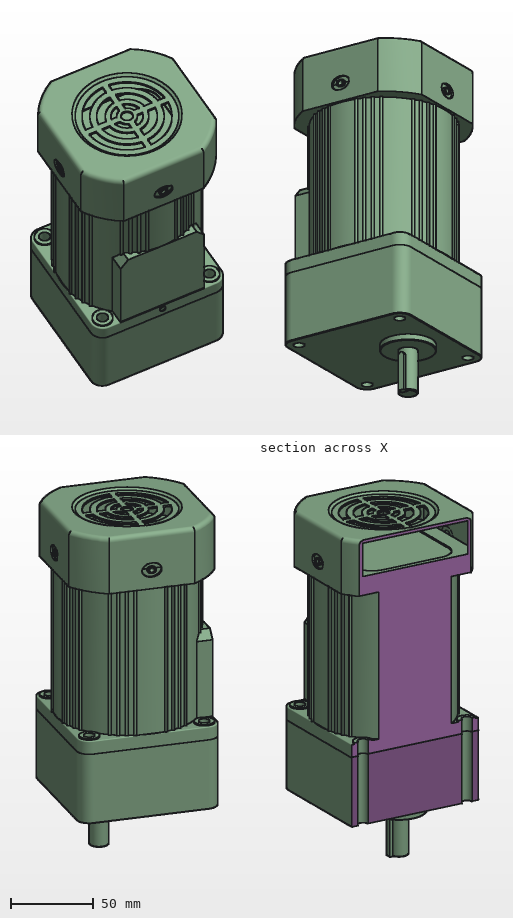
import cadquery as cq

total_height = 216.0

body_side = 89.9
body_corner_radius = 8.0
gearbox_bottom_z = 32.0
gearbox_top_z = 77.0
gearbox_bottom_chamfer = 0.5
flange_thickness = 8.5
flange_edge_fillet = 0.6
screw_spacing = 73.5
screw_hole_diameter = 7.0
screw_boss_diameter = 12.5
screw_boss_height = 0.9

shaft_offset_x = -18.0
shaft_diameter = 12.0
shaft_end_chamfer = 0.6
collar_diameter = 34.1
collar_bottom_z = 28.0
collar_chamfer = 0.5
key_width = 4.0
key_thickness = 4.0
key_protrusion = 1.5
key_length = 24.8

barrel_diameter = body_side
rib_radius = 0.97
ribs_per_group = 4
rib_pitch_angle = 6.6
rib_group_angle = 45.0

terminal_box_width = 57.5
terminal_box_top_z = 140.5
terminal_box_slope_width = 5.2
terminal_box_slope_height = 5.6
cable_outlet_diameter = 3.9
cable_outlet_protrusion = 0.6

cover_side = 93.0
cover_corner_radius = 54.0
cover_bottom_z = 180.0
cover_edge_fillet = 3.0
cover_wall = 2.0
cavity_floor_z = 192.5
floor_recess_side = 67.0
floor_recess_corner_radius = 13.0
floor_recess_depth = 0.9

grille_recess_radius = 33.3
grille_recess_inset = 2.0
grille_recess_depth = 1.3
grille_thickness = 1.0
grille_spoke_width = 4.0
grille_hub_hole_radius = 3.7
grille_slot_radii = [(6.3, 9.7), (13.2, 18.4), (22.5, 27.2)]

seat_z = 192.0
seat_half_width = 6.3
seat_half_height = 4.5
seat_depth = 1.3
seat_stud_half_width = 2.8
seat_stud_half_height = 2.2
seat_hole_diameter = 3.2

flange_top_z = gearbox_top_z + flange_thickness
barrel_radius = barrel_diameter / 2
shaft_radius = shaft_diameter / 2
recess_floor_z = total_height - grille_recess_depth
cavity_top_z = recess_floor_z - grille_thickness


def block(length, width, bottom_z, top_z):
    """Box centred on the Z axis between two heights."""
    return cq.Workplane("XY", origin=(0, 0, bottom_z)).rect(length, width).extrude(top_z - bottom_z)


def cylinder(radius, bottom_z, top_z, x=0.0):
    """Upright cylinder between two heights."""
    return cq.Workplane("XY", origin=(x, 0, bottom_z)).circle(radius).extrude(top_z - bottom_z)


def at_screw_corners(bottom_z):
    """Workplane with one point at each corner screw."""
    plane = cq.Workplane("XY", origin=(0, 0, bottom_z))
    return plane.rect(screw_spacing, screw_spacing, forConstruction=True).vertices()


def screw_holes(bottom_z, top_z):
    """Cutter for the through holes at the four corners."""
    return at_screw_corners(bottom_z).circle(screw_hole_diameter / 2).extrude(top_z - bottom_z)


def make_key():
    """Parallel key on the +Y side of the shaft, rounded at its upper end."""
    straight_length = key_length - key_width / 2
    half_width = key_width / 2
    bottom_y = shaft_radius + key_protrusion - key_thickness
    return (
        cq.Workplane("XZ", origin=(shaft_offset_x, bottom_y, 0))
        .moveTo(-half_width, 0)
        .lineTo(-half_width, straight_length)
        .threePointArc((0, key_length), (half_width, straight_length))
        .lineTo(half_width, 0)
        .close()
        .extrude(-key_thickness)
    )


def make_gearbox(key):
    """Square gearbox with its collar and output shaft, and the keyway cut out."""
    housing = block(body_side, body_side, gearbox_bottom_z, gearbox_top_z)
    housing = housing.edges("|Z").fillet(body_corner_radius)
    housing = housing.faces("<Z").edges().chamfer(gearbox_bottom_chamfer)
    collar = cylinder(collar_diameter / 2, collar_bottom_z, gearbox_bottom_z, shaft_offset_x)
    collar = collar.faces("<Z").edges().chamfer(collar_chamfer)
    shaft = cylinder(shaft_radius, 0, collar_bottom_z, shaft_offset_x)
    shaft = shaft.faces("<Z").edges().chamfer(shaft_end_chamfer)
    gearbox = housing.cut(screw_holes(gearbox_bottom_z, gearbox_top_z))
    return gearbox.union(collar).union(shaft).cut(key)


def make_flange():
    """Mounting flange with a raised ring around each corner screw."""
    flange = block(body_side, body_side, gearbox_top_z, flange_top_z)
    flange = flange.edges("|Z").fillet(body_corner_radius)
    flange = flange.faces(">Z").edges().fillet(flange_edge_fillet)
    boss_top_z = flange_top_z + screw_boss_height
    bosses = at_screw_corners(gearbox_top_z).circle(screw_boss_diameter / 2)
    bosses = bosses.extrude(boss_top_z - gearbox_top_z)
    return flange.union(bosses).cut(screw_holes(gearbox_top_z, boss_top_z))


def make_barrel():
    """Motor barrel with groups of half-round ribs between smooth stretches."""
    barrel = cylinder(barrel_radius, flange_top_z, cover_bottom_z)
    rib = cylinder(rib_radius, flange_top_z, cover_bottom_z, barrel_radius)
    group_count = round(360 / rib_group_angle)
    for group in range(group_count):
        group_middle = (group + 0.5) * rib_group_angle
        for index in range(ribs_per_group):
            angle = group_middle + (index - (ribs_per_group - 1) / 2) * rib_pitch_angle
            barrel = barrel.union(rib.rotate((0, 0, 0), (0, 0, 1), angle))
    return barrel


def make_terminal_box():
    """Terminal box flush with the flange's +X side, its top sloping down at both ends."""
    half_width = terminal_box_width / 2
    flat_half_width = half_width - terminal_box_slope_width
    shoulder_z = terminal_box_top_z - terminal_box_slope_height
    profile = [
        (-half_width, flange_top_z),
        (half_width, flange_top_z),
        (half_width, shoulder_z),
        (flat_half_width, terminal_box_top_z),
        (-flat_half_width, terminal_box_top_z),
        (-half_width, shoulder_z),
    ]
    inner_x = barrel_radius / 2
    box = cq.Workplane("YZ", origin=(inner_x, 0, 0)).polyline(profile).close()
    return box.extrude(body_side / 2 - inner_x)


def make_cable_outlet():
    """Small round outlet standing out from the flange below the terminal box."""
    outlet_z = flange_top_z - flange_edge_fillet - cable_outlet_diameter / 2
    outlet = cq.Workplane("YZ", origin=(barrel_radius / 2, 0, outlet_z)).circle(cable_outlet_diameter / 2)
    return outlet.extrude(body_side / 2 + cable_outlet_protrusion - barrel_radius / 2)


def cover_block(inset, bottom_z, top_z):
    """Square block with its corners cut by a large circle, set in from the cover's outline."""
    side = cover_side - 2 * inset
    return block(side, side, bottom_z, top_z).intersect(
        cylinder(cover_corner_radius - inset, bottom_z, top_z)
    )


def make_floor_recess():
    """Shallow rounded square recess in the floor of the cover's cavity."""
    recess_bottom_z = cavity_floor_z - floor_recess_depth
    recess = block(floor_recess_side, floor_recess_side, recess_bottom_z, cavity_floor_z)
    return recess.edges("|Z").fillet(floor_recess_corner_radius)


def make_grille_cutter():
    """Ring slots interrupted by two crossing spokes, and the hub hole."""
    slots = cylinder(grille_hub_hole_radius, cavity_top_z, total_height)
    for inner_radius, outer_radius in grille_slot_radii:
        ring = cylinder(outer_radius, cavity_top_z, total_height)
        ring = ring.cut(cylinder(inner_radius, cavity_top_z, total_height))
        ring = ring.cut(block(cover_side, grille_spoke_width, cavity_top_z, total_height))
        ring = ring.cut(block(grille_spoke_width, cover_side, cavity_top_z, total_height))
        slots = slots.union(ring)
    return slots


def make_grille_recess():
    """Shallow tapered recess around the grille."""
    floor_radius = grille_recess_radius - grille_recess_inset
    return cq.Workplane("XY").add(
        cq.Solid.makeCone(
            floor_radius, grille_recess_radius, grille_recess_depth, pnt=cq.Vector(0, 0, recess_floor_z)
        )
    )


def make_seat_cutter():
    """Oval recess in the -Y side with an oval stud left in it, the stud having a conical hole."""
    outer_face = cq.Workplane("XZ", origin=(0, -cover_side / 2, seat_z))
    seat = outer_face.ellipse(seat_half_width, seat_half_height).extrude(-seat_depth)
    stud = outer_face.ellipse(seat_stud_half_width, seat_stud_half_height).extrude(-seat_depth)
    cone = cq.Workplane("XY").add(
        cq.Solid.makeCone(
            seat_hole_diameter / 2,
            0,
            seat_depth,
            pnt=cq.Vector(0, -cover_side / 2, seat_z),
            dir=cq.Vector(0, 1, 0),
        )
    )
    return seat.cut(stud).union(cone)


def make_fan_cover():
    """Hollow cover with a grille in its top and a fastener seat in each side."""
    cover = cover_block(0, cover_bottom_z, total_height)
    cover = cover.faces(">Z").edges().fillet(cover_edge_fillet)
    cover = cover.cut(cover_block(cover_wall, cavity_floor_z, cavity_top_z))
    cover = cover.cut(make_floor_recess())
    cover = cover.cut(make_grille_recess()).cut(make_grille_cutter())
    seat_cutter = make_seat_cutter()
    for side_angle in (0, 90, 180, 270):
        cover = cover.cut(seat_cutter.rotate((0, 0, 0), (0, 0, 1), side_angle))
    return cover


def make_motor():
    """Motor: flange, barrel, terminal box, cable outlet and fan cover in one body."""
    motor = make_flange().union(make_barrel())
    motor = motor.union(make_terminal_box()).union(make_cable_outlet())
    return motor.union(make_fan_cover())


key = make_key()
gearbox = make_gearbox(key)
motor = make_motor()

result = cq.Compound.makeCompound([motor.val(), gearbox.val(), key.val()])